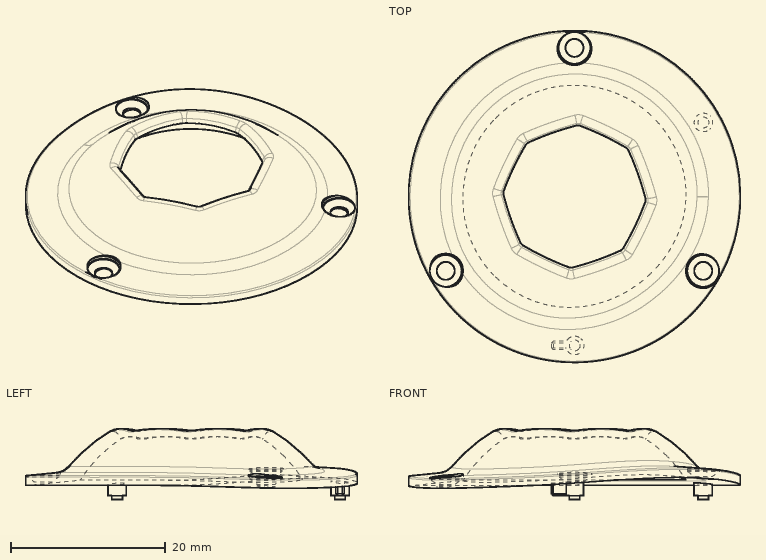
import cadquery as cq
import math

DOME_RADIUS = 20.75
DOME_WALL = 1.5
CAVITY_RADIUS = 17.0
DOME_BASE = 11.5

OPENING_CORNER_RADIUS = 9.25
OPENING_SIDES = 8
OPENING_TURN = -3.0
OPENING_CORNER_ROUND = 0.8
OPENING_LIP_ROUND = 0.8

FLANGE_RADIUS = 21.5
FLANGE_THICKNESS = 1.27
FLANGE_RIM_TOP = 12.14
FLANGE_SLOPE = 0.1
FLANGE_INNER_RADIUS = 10.0
FLANGE_EDGE_ROUND = 0.2
DOME_FOOT_ROUND = 2.2
WAVE_POINTS = 24
CREST_HEIGHT, CREST_ANGLE, CREST_HALF_WIDTH = 1.03, 309.0, 62.0
TROUGH_DEPTH, TROUGH_ANGLE, TROUGH_HALF_WIDTH = 0.39, 217.0, 52.0

SCREW_CIRCLE_RADIUS = 19.25
SCREW_HOLE_DIAMETER = 2.3
SCREW_HEAD_DIAMETER = 4.1
RIM_CHAMFER = 0.2
HEAD_WALL = 0.15
SCREW_CONE_DEPTH = 1.0
SCREW_ANGLES = (90.0, 210.0, 330.0)

PEG_DIAMETER = 2.4
PEG_ANGLES = (30.0, 270.0)
PEG_BOTTOM = 9.56
PEG_TIP_DIAMETER = 1.4
PEG_TIP_LENGTH = 0.52
PEG_TAB_REACH = 3.0
PEG_TAB_WIDTH = 1.1
PEG_TAB_CHAMFER = 0.25

FOOT_RADIUS_TOLERANCE = 1.0
RIM_RADIUS_TOLERANCE = 0.1
CORNER_HEIGHT_TOLERANCE = 0.1


def polar(radius, angle):
    """X, Y of a point at an angle in degrees around the axis."""
    return radius * math.cos(math.radians(angle)), radius * math.sin(math.radians(angle))


def lobe(angle, centre, half_width):
    """Raised-cosine hump: 1 at its centre, 0 at and beyond its half width."""
    offset = abs((angle - centre + 180.0) % 360.0 - 180.0)
    return math.cos(math.pi / 2 * offset / half_width) ** 2 if offset < half_width else 0.0


def flange_top(radius, angle):
    """Height of the flange's top surface; the wave grows in proportion to the radius."""
    crest = CREST_HEIGHT * lobe(angle, CREST_ANGLE, CREST_HALF_WIDTH)
    trough = TROUGH_DEPTH * lobe(angle, TROUGH_ANGLE, TROUGH_HALF_WIDTH)
    cone = FLANGE_RIM_TOP + FLANGE_SLOPE * (FLANGE_RADIUS - radius)
    return cone + (crest - trough) * radius / FLANGE_RADIUS


def wave_ring(radius, drop):
    """Closed curve around the flange at one radius, a given distance below its top."""
    points = []
    for step in range(WAVE_POINTS):
        angle = 360.0 * step / WAVE_POINTS
        points.append(cq.Vector(*polar(radius, angle), flange_top(radius, angle) - drop))
    return cq.Edge.makeSpline(points, periodic=True)


def wavy_band(top_drop, bottom_drop):
    """Ring with wavy top and bottom, at given distances below the flange's top surface."""
    outer_top = wave_ring(FLANGE_RADIUS, top_drop)
    outer_bottom = wave_ring(FLANGE_RADIUS, bottom_drop)
    inner_top = wave_ring(FLANGE_INNER_RADIUS, top_drop)
    inner_bottom = wave_ring(FLANGE_INNER_RADIUS, bottom_drop)
    loop = (outer_top, inner_top, inner_bottom, outer_bottom, outer_top)
    faces = [cq.Face.makeRuledSurface(a, b) for a, b in zip(loop, loop[1:])]
    return cq.Workplane(cq.Solid.makeSolid(cq.Shell.makeShell(faces)))


def ball_cap(radius, base):
    """Cap of a ball centred on the origin, cut flat at the base height."""
    rim = math.sqrt(radius**2 - base**2)
    middle = (radius + base) / 2
    profile = (
        cq.Workplane("XZ")
        .moveTo(0, base)
        .lineTo(rim, base)
        .threePointArc((math.sqrt(radius**2 - middle**2), middle), (0, radius))
        .close()
    )
    return profile.revolve(360, (0, 0, 0), (0, 1, 0))


def ring_edges(body, radius, tolerance, low):
    """Edges running all around the axis, with the given half width along X and lying above a height."""
    chosen = []
    for edge in body.edges().vals():
        box = edge.BoundingBox()
        if abs(box.xlen / 2 - radius) < tolerance and box.zmin > low:
            chosen.append(edge)
    return body.newObject(chosen)


def opening_inner_height():
    """Height of the opening's inner corners, one wall thickness inside the dome."""
    return math.sqrt((DOME_RADIUS - DOME_WALL) ** 2 - OPENING_CORNER_RADIUS**2)


def dome_on_flange():
    """Hollow dome blended into the wavy flange."""
    flange = wavy_band(0, FLANGE_THICKNESS)
    below_flange = wavy_band(FLANGE_THICKNESS, 3 * FLANGE_THICKNESS)
    body = ball_cap(DOME_RADIUS, DOME_BASE).cut(below_flange).union(flange)
    foot_radius = math.sqrt(DOME_RADIUS**2 - FLANGE_RIM_TOP**2)
    lowest_rim_top = FLANGE_RIM_TOP - TROUGH_DEPTH - FLANGE_EDGE_ROUND
    body = ring_edges(body, foot_radius, FOOT_RADIUS_TOLERANCE, lowest_rim_top).fillet(DOME_FOOT_ROUND)
    body = ring_edges(body, FLANGE_RADIUS, RIM_RADIUS_TOLERANCE, lowest_rim_top).fillet(FLANGE_EDGE_ROUND)
    cavity_centre = opening_inner_height() - math.sqrt(CAVITY_RADIUS**2 - OPENING_CORNER_RADIUS**2)
    return body.cut(cq.Workplane().sphere(CAVITY_RADIUS).translate((0, 0, cavity_centre)))


def cut_opening(body):
    """Cut the eight-sided opening, its walls pointing at the dome's centre, and round its lip."""
    inner_height = opening_inner_height()
    section_heights = (inner_height / 2, DOME_RADIUS)
    flare = OPENING_CORNER_RADIUS / inner_height
    sections = [
        cq.Workplane(origin=(0, 0, height)).polygon(OPENING_SIDES, 2 * flare * height).val()
        for height in section_heights
    ]
    prism = (
        cq.Workplane(cq.Solid.makeLoft(sections, True))
        .edges("not #Z")
        .fillet(OPENING_CORNER_ROUND)
        .rotate((0, 0, 0), (0, 0, 1), OPENING_TURN)
    )
    body = body.cut(prism)
    outer_radius = OPENING_CORNER_RADIUS * DOME_RADIUS / (DOME_RADIUS - DOME_WALL)
    corner_height = math.sqrt(DOME_RADIUS**2 - outer_radius**2)
    reach = outer_radius + OPENING_LIP_ROUND
    lip = cq.selectors.BoxSelector(
        (-reach, -reach, corner_height - CORNER_HEIGHT_TOLERANCE),
        (reach, reach, DOME_RADIUS),
        boundingbox=True,
    )
    return body.edges(lip).fillet(OPENING_LIP_ROUND)


def screw_hole(angle):
    """Cutter for a countersunk hole with a short straight wall and a chamfered rim."""
    top = flange_top(SCREW_CIRCLE_RADIUS, angle)
    hole_radius = SCREW_HOLE_DIAMETER / 2
    head_radius = SCREW_HEAD_DIAMETER / 2
    rim_radius = head_radius + RIM_CHAMFER
    wall_bottom = top - RIM_CHAMFER - HEAD_WALL
    bottom = top - 2 * FLANGE_THICKNESS
    clear_height = top + FLANGE_THICKNESS
    outline = [
        (0, bottom),
        (hole_radius, bottom),
        (hole_radius, top - SCREW_CONE_DEPTH),
        (head_radius, wall_bottom),
        (head_radius, top - RIM_CHAMFER),
        (rim_radius, top),
        (rim_radius, clear_height),
        (0, clear_height),
    ]
    profile = cq.Workplane("XZ").polyline(outline).close()
    cutter = profile.revolve(360, (0, 0, 0), (0, 1, 0))
    return cutter.translate(polar(SCREW_CIRCLE_RADIUS, angle) + (0,))


def peg(angle):
    """Round peg with a narrower tip, rooted inside the flange."""
    root = flange_top(SCREW_CIRCLE_RADIUS, angle) - FLANGE_THICKNESS / 2
    post = cq.Workplane().circle(PEG_DIAMETER / 2).extrude(root - PEG_BOTTOM)
    tip = cq.Workplane().circle(PEG_TIP_DIAMETER / 2).extrude(-PEG_TIP_LENGTH)
    return post.union(tip).translate(polar(SCREW_CIRCLE_RADIUS, angle) + (PEG_BOTTOM,))


def peg_tab(angle):
    """Flat tab reaching from a peg toward -X."""
    root = flange_top(SCREW_CIRCLE_RADIUS, angle) - FLANGE_THICKNESS / 2
    tab = cq.Workplane().box(PEG_TAB_REACH, PEG_TAB_WIDTH, root - PEG_BOTTOM, centered=(False, True, False))
    tab = tab.edges("<X or <Z").edges("<X or |X").chamfer(PEG_TAB_CHAMFER)
    x, y = polar(SCREW_CIRCLE_RADIUS, angle)
    return tab.translate((x - PEG_TAB_REACH, y, PEG_BOTTOM))


result = cut_opening(dome_on_flange())
for hole_angle in SCREW_ANGLES:
    result = result.cut(screw_hole(hole_angle))
for peg_angle in PEG_ANGLES:
    result = result.union(peg(peg_angle))
result = result.union(peg_tab(PEG_ANGLES[-1]))